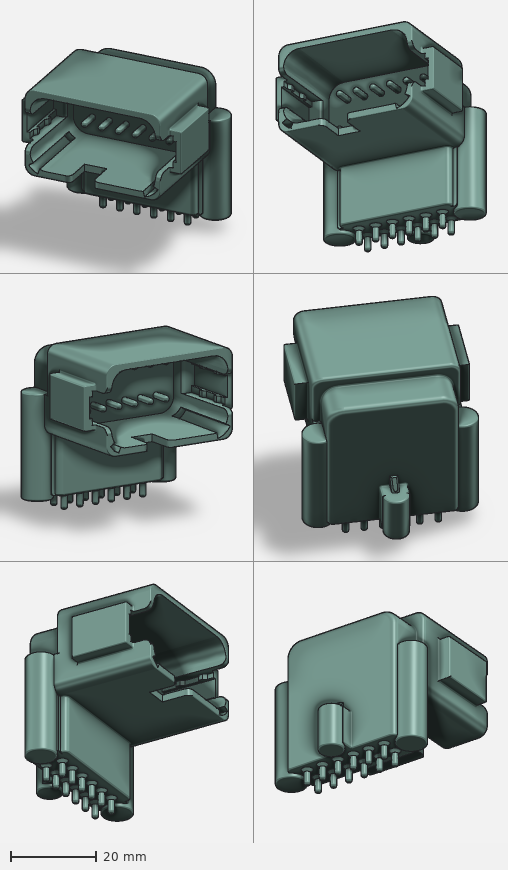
import cadquery as cq
import math


SHROUD_HALF_WIDTH = 17.65
SHROUD_DEPTH = 26.0
SHROUD_BOTTOM = 16.0
SHROUD_TOP = 38.15
SHROUD_CORNER_R = 2.55
SHROUD_REAR_ROUND = 1.0
MOUTH_ROUND = 0.25
COLLAR_REAR = 26.85
COLLAR_TOP = 25.8

CAVITY_HALF_WIDTH = 16.28
CAVITY_BOTTOM = 17.75
CAVITY_TOP = 36.55
CAVITY_CORNER_R = 4.1
CAVITY_DEPTH = 22.65
CAVITY_INSET = 0.25

OPENING_BOTTOM = 23.0
OPENING_TOP = 31.2
OPENING_MOUTH_R = 1.9
NOTCH_LEFT = -5.75
NOTCH_RIGHT = 0.0
NOTCH_DEPTH = 7.55
NOTCH_MOUTH_R = 1.45

KEYWAY_R = 5.55
KEYWAY_DEPTH = 18.88
LEFT_KEYWAY_ANGLES = (37.0, 67.0)
RIGHT_KEYWAY_ANGLES = (31.0, 76.0)

WING_HALF_SPAN = 20.8
WING_FRONT = 4.8
WING_REAR = 19.8
WING_BOTTOM = 21.7
WING_TOP = 32.65
WING_ROUND = 0.4
WING_ROOT_R = 0.5
WING_FRONT_ROUND = 0.3
SLOT_HALF_SPAN = 18.6
SLOT_REAR = 18.88
SLOT_LIP_R = 0.92
GROOVE_HALF_SPAN = 19.35
GROOVE_BOTTOM = 24.6
GROOVE_TOP = 29.85
TAB_INNER_X = 17.95
TAB_LENGTH = 2.1
TAB_OFFSET = 1.68
TAB_PITCH = 6.12
TABS_PER_SLOT_SIDE = 2

BODY_HALF_WIDTH = 15.7
BODY_FRONT = 26.43
BODY_REAR = 34.9
BODY_BOTTOM = 1.15
BODY_TOP = 35.5
BODY_TOP_CORNER_R = 4.1
BODY_REAR_ROUND = 1.5
BODY_BOTTOM_ROUND = 0.55
APRON_HALF_WIDTH = 14.72
APRON_FRONT = 24.75
APRON_CORNER_R = 1.35

COLUMN_X = 17.15
COLUMN_Y = 30.35
COLUMN_R = 41.95 / 2 - COLUMN_X
COLUMN_TOP = 25.93
FOOT_ROUND = 0.5

POST_R = 3.15
POST_Y = 38.4
POST_TOP = 11.3
POST_ROUND = 0.55
WEB_HALF_WIDTH = 3.27
RIB_HALF_WIDTH = 0.95
RIB_TOP = 14.15
RIB_CREST_Y = 35.65
RIB_FOOT_Y = 38.1
RIB_ROUND = 0.4
RIB_END_R = 0.92

PINS_PER_ROW = 6
PIN_PITCH = 4.4
PIN_R = 0.8
PIN_TIP_ROUND = 0.75
TAIL_ROWS_Y = (28.25, 32.65)
TAIL_END = -3.1
TAIL_COLLAR_R = 1.43
TAIL_COLLAR_END = 0.35
CONTACT_ROWS_Z = (22.55, 31.6)
CONTACT_TIP_Y = 17.6

NECK_FILLET_R = 0.5
APRON_FILLET_R = 0.4
WEB_FILLET_R = 0.38

EMBED = 0.85
GAP = 0.05


def box(x0, x1, y0, y1, z0, z1):
    """Box between two opposite corners."""
    return cq.Workplane("XY").box(x1 - x0, y1 - y0, z1 - z0, centered=False).translate((x0, y0, z0))


def mirrored_pair(half):
    """The given solid together with its mirror image across X = 0."""
    return half.union(half.mirror("YZ"))


def rounded_tunnel(half_width, bottom, top, corner_r, y0, y1):
    """Bar along Y with four equally rounded corners."""
    return box(-half_width, half_width, y0, y1, bottom, top).edges("|Y").fillet(corner_r)


def fillet_within(solid, low, high, radius):
    """Fillet every edge whose centre lies between two opposite corner points."""
    return solid.edges(cq.selectors.BoxSelector(low, high)).fillet(radius)


def make_body():
    main = box(-BODY_HALF_WIDTH, BODY_HALF_WIDTH, BODY_FRONT, BODY_REAR, BODY_BOTTOM, BODY_TOP)
    main = main.edges("|Y and >Z").fillet(BODY_TOP_CORNER_R)
    main = main.faces(">Y").edges("not <Z").fillet(BODY_REAR_ROUND)
    main = main.faces("<Z").edges(">Y").fillet(BODY_BOTTOM_ROUND)
    neck = box(-BODY_HALF_WIDTH, BODY_HALF_WIDTH, SHROUD_DEPTH - EMBED, BODY_FRONT + EMBED,
               SHROUD_BOTTOM + SHROUD_CORNER_R, BODY_TOP)
    neck = neck.edges("|Y and >Z").fillet(BODY_TOP_CORNER_R)
    apron = box(-APRON_HALF_WIDTH, APRON_HALF_WIDTH, APRON_FRONT, BODY_FRONT + EMBED,
                BODY_BOTTOM, SHROUD_BOTTOM + EMBED)
    apron = apron.edges("|Z and <Y").fillet(APRON_CORNER_R)
    apron = apron.edges("<Z").edges("not >Y").fillet(BODY_BOTTOM_ROUND)
    return main.union(neck).union(apron)


def make_columns():
    column = cq.Workplane("XY").circle(COLUMN_R).extrude(COLUMN_TOP).edges().fillet(FOOT_ROUND)
    return mirrored_pair(column.translate((COLUMN_X, COLUMN_Y, 0)))


def make_post():
    """Rear post, its web to the body, and the sloping rib on top of them."""
    post = cq.Workplane("XY").circle(POST_R).extrude(POST_TOP).edges().fillet(POST_ROUND)
    post = post.translate((0, POST_Y, 0))
    web = box(-WEB_HALF_WIDTH, WEB_HALF_WIDTH, BODY_REAR - EMBED, POST_Y, BODY_BOTTOM, POST_TOP)
    web = web.edges("|Y").fillet(POST_ROUND)
    rib_side = [
        (BODY_REAR - EMBED, BODY_BOTTOM + EMBED),
        (RIB_FOOT_Y, BODY_BOTTOM + EMBED),
        (RIB_FOOT_Y, POST_TOP),
        (RIB_CREST_Y, RIB_TOP),
        (BODY_REAR - EMBED, RIB_TOP),
    ]
    rib = cq.Workplane("YZ").polyline(rib_side).close().extrude(RIB_HALF_WIDTH, both=True)
    rib_plan = box(-RIB_HALF_WIDTH, RIB_HALF_WIDTH, BODY_REAR - EMBED, RIB_FOOT_Y, 0, RIB_TOP)
    rib = rib.intersect(rib_plan.edges("|Z and >Y").fillet(RIB_END_R))
    rib_crown = cq.selectors.BoxSelector(
        (-POST_R, BODY_REAR, POST_TOP), (POST_R, POST_Y, RIB_TOP + EMBED))
    rib = rib.edges(rib_crown).edges("not |X").chamfer(RIB_ROUND)
    return post.union(web).union(rib)


def make_shroud():
    shell = rounded_tunnel(SHROUD_HALF_WIDTH, SHROUD_BOTTOM, SHROUD_TOP, SHROUD_CORNER_R, 0, SHROUD_DEPTH)
    shell = shell.faces(">Y").edges().fillet(SHROUD_REAR_ROUND)
    shell = shell.faces("<Y").edges().fillet(MOUTH_ROUND)
    collar = rounded_tunnel(
        SHROUD_HALF_WIDTH, SHROUD_BOTTOM, SHROUD_TOP, SHROUD_CORNER_R,
        SHROUD_DEPTH - SHROUD_REAR_ROUND - EMBED, COLLAR_REAR)
    collar_room = box(-SHROUD_HALF_WIDTH, SHROUD_HALF_WIDTH, 0, COLLAR_REAR, 0, COLLAR_TOP)
    wing = box(0, WING_HALF_SPAN, WING_FRONT, WING_REAR, WING_BOTTOM, WING_TOP)
    wing = wing.faces(">X").edges("not <Y").fillet(WING_ROUND)
    wing = wing.faces("<Y").edges("not <X").fillet(WING_FRONT_ROUND)
    shell = shell.union(mirrored_pair(wing))
    shell = fillet_within(
        shell,
        (-SHROUD_HALF_WIDTH - GAP, WING_FRONT - GAP, WING_BOTTOM - GAP),
        (SHROUD_HALF_WIDTH + GAP, WING_REAR + GAP, WING_TOP + GAP),
        WING_ROOT_R)
    return shell.union(collar.intersect(collar_room))


def keyway(side, angles):
    """Groove around one lower cavity corner; side is +1 or -1 along X."""
    start, end = (math.radians(a) for a in angles)
    middle = (start + end) / 2
    centre_x = side * (CAVITY_HALF_WIDTH - CAVITY_CORNER_R)
    centre_z = CAVITY_BOTTOM + CAVITY_CORNER_R

    def rim(angle):
        return (centre_x + side * KEYWAY_R * math.cos(angle), centre_z - KEYWAY_R * math.sin(angle))

    profile = cq.Workplane("XZ").moveTo(centre_x, centre_z).lineTo(*rim(start))
    profile = profile.threePointArc(rim(middle), rim(end)).close()
    return profile.extrude(-KEYWAY_DEPTH)


def mouth_flare(plane, low, high, radius, length):
    """Cutter that widens a gap between low and high to convex rounded corners at Y = 0.

    The profile lies in a plane whose two axes are the gap direction and Y.
    """
    diagonal = radius * (1 - math.sqrt(0.5))
    flare = cq.Workplane(plane).moveTo(low - radius, 0)
    flare = flare.threePointArc((low - diagonal, diagonal), (low, radius))
    flare = flare.lineTo(high, radius)
    flare = flare.threePointArc((high + diagonal, diagonal), (high + radius, 0))
    return flare.close().extrude(length)


def make_wing_slots():
    slot = box(0, SLOT_HALF_SPAN, 0, SLOT_REAR, OPENING_BOTTOM, OPENING_TOP)
    groove = box(0, GROOVE_HALF_SPAN, 0, SLOT_REAR, GROOVE_BOTTOM, GROOVE_TOP)
    mouth = box(0, WING_HALF_SPAN, -EMBED, WING_FRONT, OPENING_BOTTOM, OPENING_TOP)
    cutter = slot.union(groove).union(mouth)
    for index in range(TABS_PER_SLOT_SIDE):
        tab_front = WING_FRONT + TAB_OFFSET + index * TAB_PITCH
        for bottom, top in ((OPENING_BOTTOM, GROOVE_BOTTOM), (GROOVE_TOP, OPENING_TOP)):
            wedge = cq.Workplane("XY", origin=(0, 0, bottom)).polyline([
                (SLOT_HALF_SPAN, tab_front),
                (TAB_INNER_X, tab_front + TAB_LENGTH / 2),
                (TAB_INNER_X, tab_front + TAB_LENGTH),
                (SLOT_HALF_SPAN, tab_front + TAB_LENGTH),
            ]).close().extrude(top - bottom)
            cutter = cutter.cut(wedge)
    return mirrored_pair(cutter)


def make_openings():
    flare = mouth_flare("ZY", OPENING_BOTTOM, OPENING_TOP, OPENING_MOUTH_R, WING_HALF_SPAN)
    openings = make_wing_slots().union(mirrored_pair(flare))
    notch = box(NOTCH_LEFT, NOTCH_RIGHT, -EMBED, NOTCH_DEPTH, 0, CAVITY_BOTTOM + EMBED)
    notch_flare = mouth_flare("XY", NOTCH_LEFT, NOTCH_RIGHT, NOTCH_MOUTH_R, CAVITY_BOTTOM + EMBED)
    return openings.union(notch).union(notch_flare)


def make_cavity():
    taper = math.degrees(math.atan2(CAVITY_INSET, CAVITY_DEPTH))
    cavity = cq.Workplane("XZ", origin=(0, 0, (CAVITY_BOTTOM + CAVITY_TOP) / 2))
    cavity = cavity.sketch().rect(2 * CAVITY_HALF_WIDTH, CAVITY_TOP - CAVITY_BOTTOM)
    cavity = cavity.vertices().fillet(CAVITY_CORNER_R).finalize().extrude(-CAVITY_DEPTH, taper=taper)
    cavity = cavity.union(keyway(-1, LEFT_KEYWAY_ANGLES))
    cavity = cavity.union(keyway(1, RIGHT_KEYWAY_ANGLES))
    lip_corner_x = CAVITY_HALF_WIDTH - CAVITY_INSET + SLOT_LIP_R
    lip = box(0, lip_corner_x, SLOT_REAR - EMBED, SLOT_REAR + SLOT_LIP_R, OPENING_BOTTOM, OPENING_TOP)
    lip_round = cq.Workplane("XY", origin=(lip_corner_x, SLOT_REAR + SLOT_LIP_R, OPENING_BOTTOM))
    lip_round = lip_round.circle(SLOT_LIP_R).extrude(OPENING_TOP - OPENING_BOTTOM)
    return cavity.union(mirrored_pair(lip.cut(lip_round)))


def make_pins():
    """All board tails and all contacts, as a list of solids."""
    tail = cq.Workplane("XY", origin=(0, 0, TAIL_END)).circle(PIN_R).extrude(BODY_BOTTOM + EMBED - TAIL_END)
    tail = tail.faces("<Z").edges().fillet(PIN_TIP_ROUND)
    collar = cq.Workplane("XY", origin=(0, 0, TAIL_COLLAR_END)).circle(PIN_R)
    collar = collar.workplane(offset=BODY_BOTTOM - TAIL_COLLAR_END).circle(TAIL_COLLAR_R).loft()
    tail = tail.union(collar)
    contact = cq.Workplane("XZ", origin=(0, CONTACT_TIP_Y, 0)).circle(PIN_R)
    contact = contact.extrude(CONTACT_TIP_Y - CAVITY_DEPTH - EMBED)
    contact = contact.faces("<Y").edges().fillet(PIN_TIP_ROUND)
    pins = cq.Workplane("XY")
    for column in range(PINS_PER_ROW):
        x = (column - (PINS_PER_ROW - 1) / 2) * PIN_PITCH
        for y in TAIL_ROWS_Y:
            pins.add(tail.translate((x, y, 0)))
        for z in CONTACT_ROWS_Z:
            pins.add(contact.translate((x, 0, z)))
    return pins.vals()


def make_housing():
    """The solid outside of the part, with the concave fillets where its pieces meet."""
    housing = make_shroud().union(make_body())
    housing = fillet_within(
        housing,
        (-BODY_HALF_WIDTH - GAP, SHROUD_DEPTH - GAP, COLUMN_TOP + GAP),
        (BODY_HALF_WIDTH + GAP, SHROUD_DEPTH + GAP, BODY_TOP + GAP),
        NECK_FILLET_R)
    housing = fillet_within(
        housing,
        (-APRON_HALF_WIDTH - GAP, APRON_FRONT - GAP, SHROUD_BOTTOM - GAP),
        (APRON_HALF_WIDTH + GAP, BODY_FRONT - GAP, SHROUD_BOTTOM + GAP),
        APRON_FILLET_R)
    housing = housing.union(make_post())
    housing = fillet_within(
        housing,
        (-WEB_HALF_WIDTH - GAP, BODY_REAR - GAP, BODY_BOTTOM),
        (WEB_HALF_WIDTH + GAP, BODY_REAR + GAP, POST_TOP + GAP),
        WEB_FILLET_R)
    return housing.union(make_columns())


result = make_housing().cut(make_cavity()).cut(make_openings())
for pin in make_pins():
    result = result.union(cq.Workplane(pin))